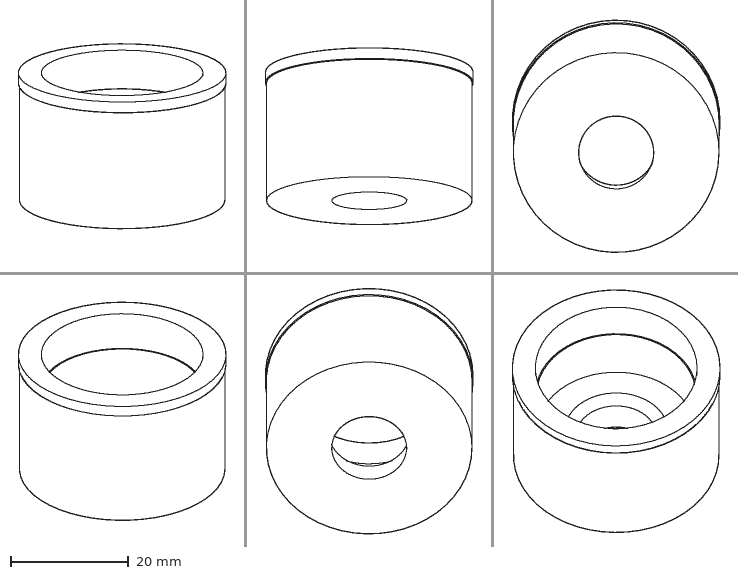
import cadquery as cq

height = 22.5
flange_radius = 17.65
body_radius = 17.47
flange_height = 1.87
flange_underside_height = 0.1

upper_bore_radius = 13.73
lower_bore_radius = 13.52
upper_bore_depth = 6.8
bore_depth = 16.5

hole_radius = 6.35
throat_radius = 6.9
mouth_radius = 8.82
mouth_depth = 1.13

flange_bottom = height - flange_height
step_level = height - upper_bore_depth
floor_level = height - bore_depth
throat_level = floor_level - mouth_depth

section = [
    (hole_radius, 0),
    (body_radius, 0),
    (body_radius, flange_bottom - flange_underside_height),
    (flange_radius, flange_bottom),
    (flange_radius, height),
    (upper_bore_radius, height),
    (upper_bore_radius, step_level),
    (lower_bore_radius, step_level),
    (lower_bore_radius, floor_level),
    (mouth_radius, floor_level),
    (throat_radius, throat_level),
]

result = cq.Workplane("XZ").polyline(section).close().revolve(360, (0, 0, 0), (0, 1, 0))